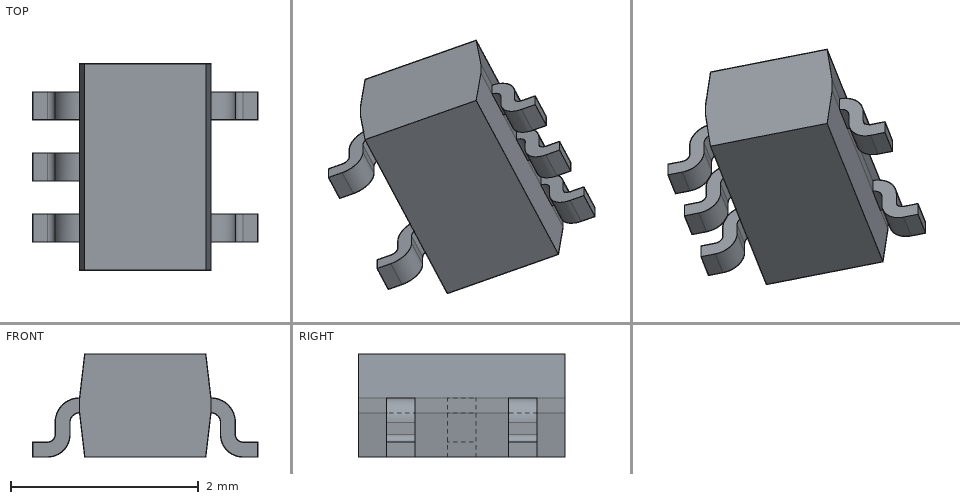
import cadquery as cq

body_length = 2.2
body_height = 1.1
body_band_width = 1.4
body_end_width = 1.29

lead_span = 2.4
lead_thickness = 0.16
lead_width = 0.3
lead_pitch = 0.65
foot_flat_length = 0.16
foot_bend_inner_radius = 0.08

LEFT = -1
RIGHT = 1
left_lead_rows = [-lead_pitch, 0, lead_pitch]
right_lead_rows = [-lead_pitch, lead_pitch]

band_bottom = (body_height - lead_thickness) / 2
band_top = band_bottom + lead_thickness


def make_body():
    """Eight-sided moulding, widest at the band, running along Y."""
    band_x = body_band_width / 2
    end_x = body_end_width / 2
    return (
        cq.Workplane("XZ")
        .moveTo(-end_x, 0)
        .lineTo(end_x, 0)
        .lineTo(band_x, band_bottom)
        .lineTo(band_x, band_top)
        .lineTo(end_x, body_height)
        .lineTo(-end_x, body_height)
        .lineTo(-band_x, band_top)
        .lineTo(-band_x, band_bottom)
        .close()
        .extrude(body_length / 2, both=True)
    )


def make_lead(side, row_y):
    """S-bent strip from the foot tip at z = 0 up to the body's flat band."""
    foot_outer_radius = foot_bend_inner_radius + lead_thickness

    tip_x = lead_span / 2
    foot_bend_x = tip_x - foot_flat_length
    riser_outer_x = foot_bend_x - foot_bend_inner_radius
    riser_inner_x = riser_outer_x - lead_thickness
    band_x = body_band_width / 2

    shoulder_bend_inner_radius = riser_inner_x - band_x
    shoulder_outer_radius = shoulder_bend_inner_radius + lead_thickness

    foot_bend_z = foot_outer_radius
    shoulder_bend_z = band_bottom - shoulder_bend_inner_radius

    profile = (
        cq.Workplane("XZ")
        .moveTo(side * tip_x, 0)
        .lineTo(side * foot_bend_x, 0)
        .radiusArc((side * riser_inner_x, foot_bend_z), side * foot_outer_radius)
        .lineTo(side * riser_inner_x, shoulder_bend_z)
        .radiusArc((side * band_x, band_bottom), -side * shoulder_bend_inner_radius)
        .lineTo(side * band_x, band_top)
        .radiusArc((side * riser_outer_x, shoulder_bend_z), side * shoulder_outer_radius)
        .lineTo(side * riser_outer_x, foot_bend_z)
        .radiusArc((side * foot_bend_x, lead_thickness), -side * foot_bend_inner_radius)
        .lineTo(side * tip_x, lead_thickness)
        .close()
    )
    return profile.extrude(lead_width / 2, both=True).translate((0, row_y, 0))


body = make_body()
leads = [make_lead(LEFT, row_y) for row_y in left_lead_rows]
leads += [make_lead(RIGHT, row_y) for row_y in right_lead_rows]

result = cq.Compound.makeCompound([body.val(), *[lead.val() for lead in leads]])